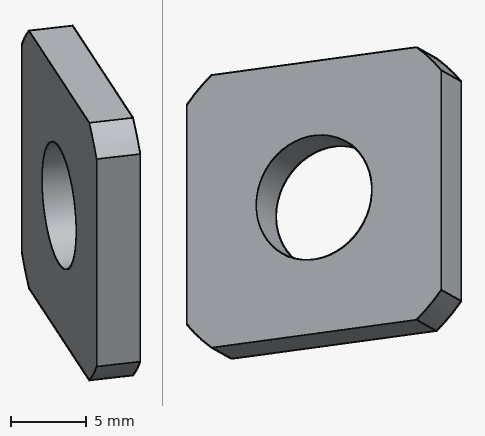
import cadquery as cq

side = 18.7
thickness = 3.0
corner_circle_diameter = 24.01
hole_diameter = 8.49


def cylinder_along_y(diameter):
    """Cylinder through the plate thickness, centred on the plate."""
    return cq.Workplane("XZ").circle(diameter / 2).extrude(thickness / 2, both=True)


plate = cq.Workplane("XY").box(side, thickness, side)
plate = plate.intersect(cylinder_along_y(corner_circle_diameter))

result = plate.cut(cylinder_along_y(hole_diameter))